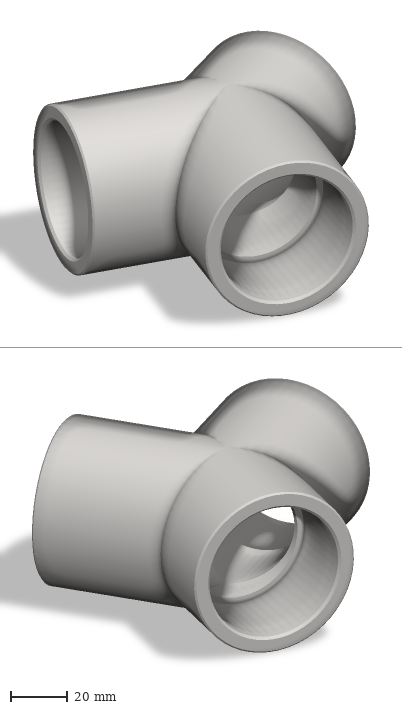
import cadquery as cq
import math

outer_diameter = 62.0
socket_diameter = 50.0
bore_diameter = 45.0
overall_width = 130.8
overall_depth = 108.4
branch_angle = 45.0
socket_depth = 31.0
rim_chamfer = 0.7
mouth_chamfer = 0.9

outer_radius = outer_diameter / 2
slant = math.radians(branch_angle)
rim_reach = outer_radius * math.cos(slant)
slant_length = (overall_width / 2 - rim_reach) / math.sin(slant) + rim_chamfer
slant_reach = (slant_length - rim_chamfer) * math.cos(slant) + outer_radius * math.sin(slant)
straight_length = overall_depth - slant_reach

arms = [
    (90.0, straight_length),
    (270.0 - branch_angle, slant_length),
    (270.0 + branch_angle, slant_length),
]


def arm_plane(angle, distance=0.0):
    """Plane across an arm's axis, facing outward."""
    direction = cq.Vector(math.cos(math.radians(angle)), math.sin(math.radians(angle)), 0)
    return cq.Plane(origin=direction * distance, xDir=(0, 0, 1), normal=direction)


def arm_body(angle, length):
    """Solid arm with a chamfered rim, running from the centre outward."""
    body = cq.Workplane(arm_plane(angle)).circle(outer_radius).extrude(length)
    return body.faces(cq.selectors.DirectionMinMaxSelector(arm_plane(angle).zDir)).chamfer(rim_chamfer)


def arm_cavity(angle, length):
    """Through bore, wider pipe socket and flared mouth of one arm."""
    socket_radius = socket_diameter / 2
    bore = cq.Workplane(arm_plane(angle)).circle(bore_diameter / 2).extrude(length)
    socket = cq.Workplane(arm_plane(angle, length)).circle(socket_radius).extrude(-socket_depth)
    mouth = cq.Solid.makeCone(
        socket_radius + mouth_chamfer,
        socket_radius,
        mouth_chamfer,
        arm_plane(angle, length).origin,
        -arm_plane(angle).zDir,
    )
    return bore.union(socket).union(cq.Workplane(mouth))


def union_of_arms(make_arm):
    """Join the solids made for all three arms."""
    joined = make_arm(*arms[0])
    for angle, length in arms[1:]:
        joined = joined.union(make_arm(angle, length))
    return joined


result = union_of_arms(arm_body).cut(union_of_arms(arm_cavity))